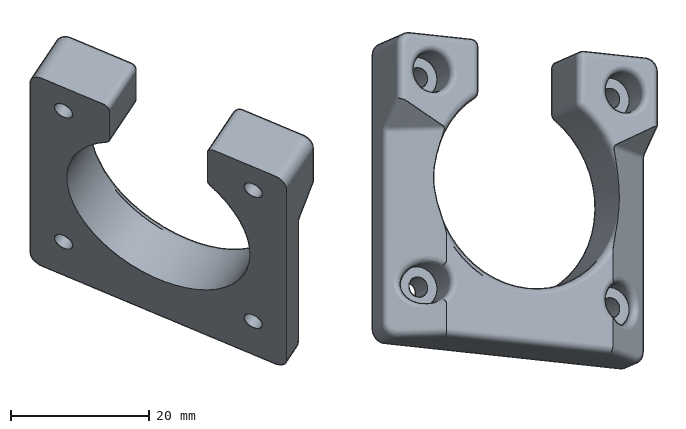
import cadquery as cq

width = 42.0
depth = 9.0
height = 44.5
corner_radius = 2.0
edge_radius = 1.0

bore_radius = 15.0
bore_z = 23.45
slot_width = 16.0
slot_corner_radius = 1.1

hole_spacing = 31.05
hole_diameter = 3.0
counterbore_diameter = 6.0
counterbore_rim_radius = 0.85
hole_floor_y = 4.0

bevel_side_y = 3.95
bevel_width = 7.55
bevel_top_z = 30.7
facet_top_z = 34.7
overrun = 2.22
margin = 0.05


def y_cylinder(diameter, start_y, x, z):
    """Cylinder along +Y from start_y through the rear face."""
    return cq.Workplane(
        cq.Solid.makeCylinder(
            diameter / 2, depth + overrun - start_y, cq.Vector(x, start_y, z), cq.Vector(0, 1, 0)
        )
    )


def hole_positions():
    """X and Z of the four screw holes."""
    offset = hole_spacing / 2
    return [(x, bore_z + rise) for x in (-offset, offset) for rise in (-offset, offset)]


def cut_screw_holes(body):
    for x, z in hole_positions():
        body = body.cut(y_cylinder(hole_diameter, -overrun, x, z))
    return body


def cut_counterbores(block):
    """Counterbores from the rear with rounded rims."""
    reach = counterbore_diameter / 2 + margin
    for x, z in hole_positions():
        block = block.cut(y_cylinder(counterbore_diameter, hole_floor_y, x, z))
        rim = cq.selectors.BoxSelector(
            (x - reach, hole_floor_y + margin, z - reach),
            (x + reach, depth + margin, z + reach),
            boundingbox=True,
        )
        block = block.edges(rim).edges("not(|Y)").fillet(counterbore_rim_radius)
    return block


def make_plate():
    plate = cq.Workplane("XY").box(width, depth, height, centered=(True, False, False))
    return plate.edges("|Y").fillet(corner_radius)


def cut_clamp_opening(body):
    slot = cq.Workplane("XY").box(slot_width, depth, height, centered=(True, False, False))
    slot = slot.translate((0, 0, bore_z))
    body = body.cut(y_cylinder(2 * bore_radius, -overrun, 0, bore_z)).cut(slot)
    slot_edges = cq.selectors.BoxSelector(
        (-slot_width / 2 - margin, -margin, bore_z),
        (slot_width / 2 + margin, depth + margin, height + margin),
    )
    return body.edges("|Y").edges(slot_edges).fillet(slot_corner_radius)


def make_bevel_cutter():
    """Triangular prism with a tetrahedron on top, for the -X side."""
    side = -width / 2
    front = (side, bevel_side_y)
    inner = (side + bevel_width, depth)
    outer = (side, depth)
    prism = cq.Workplane("XY").polyline([front, inner, outer]).close().extrude(bevel_top_z)
    base = [cq.Vector(x, y, bevel_top_z) for x, y in (front, inner, outer)]
    apex = cq.Vector(side, depth, facet_top_z)
    triangles = [
        base,
        [base[0], base[1], apex],
        [base[1], base[2], apex],
        [base[2], base[0], apex],
    ]
    faces = [cq.Face.makeFromWires(cq.Wire.makePolygon(points, close=True)) for points in triangles]
    tip = cq.Solid.makeSolid(cq.Shell.makeShell(faces))
    return prism.union(cq.Workplane(tip))


def make_bevelled_block():
    """Solid plate with rounded bevels and the counterbores."""
    cutter = make_bevel_cutter()
    block = make_plate().cut(cutter).cut(cutter.mirror("YZ"))
    bevel_zone = cq.selectors.BoxSelector(
        (-width, bevel_side_y, -margin), (width, depth - margin, facet_top_z)
    )
    block = block.edges(bevel_zone).edges("not(|Y)").fillet(edge_radius)
    return cut_counterbores(block)


def round_rear_edges(body):
    return body.faces(">Y").edges().fillet(edge_radius)


result = round_rear_edges(cut_clamp_opening(make_plate()))
result = result.intersect(make_bevelled_block())
result = cut_screw_holes(result)